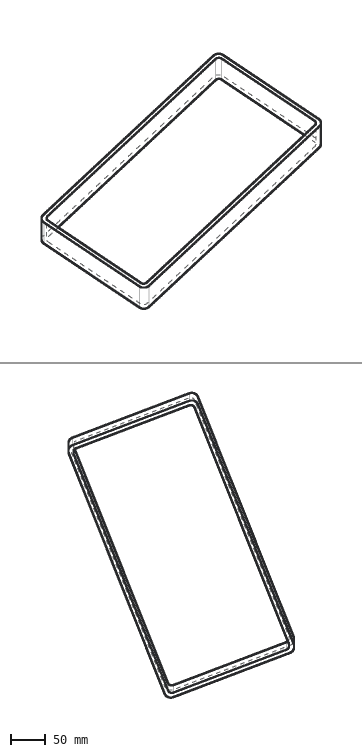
import cadquery as cq

length = 400.0
width = length / 2
height = length / 8

wall = 6.5
outer_radius = 9.5
inner_radius = 6.0


def rounded_block(size_x, size_y, corner_radius):
    """Full-height block with rounded vertical corners, standing on Z = 0."""
    block = cq.Workplane("XY").rect(size_x, size_y).extrude(height)
    return block.edges("|Z").fillet(corner_radius)


outer_block = rounded_block(width, length, outer_radius)
opening = rounded_block(width - 2 * wall, length - 2 * wall, inner_radius)
result = outer_block.cut(opening)